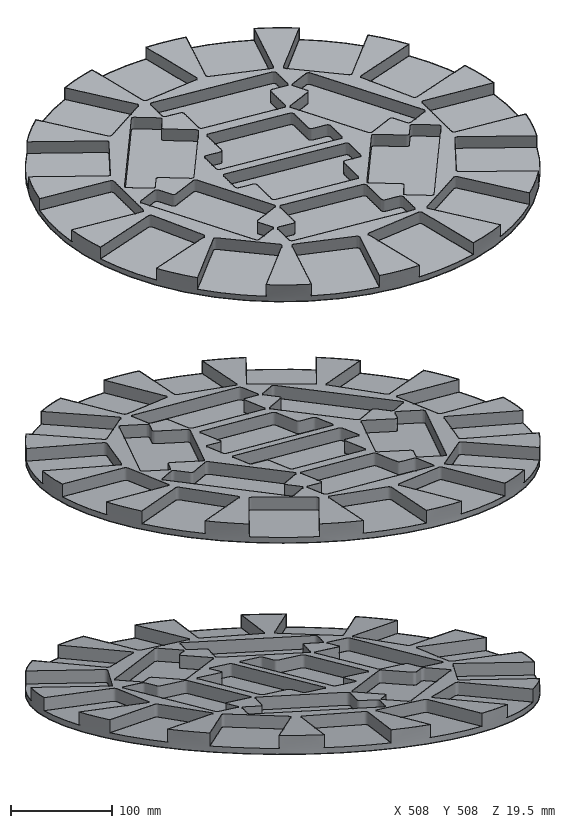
import cadquery as cq

disc_diameter = 508.0
disc_height = 19.5
floor_height = 6.0
pocket_depth = disc_height - floor_height

slot_count = 14
slot_width = 69.0
slot_inner_distance = 170.5

flange_length = 139.0
flange_width = 30.5
body_length = 96.0
pocket_width = 67.5

ring_pocket_count = 6
ring_back_distance = 153.0
centre_back_distance = 5.0

corner_radius = 3.0


def rim_slot():
    """Slot cutter along +X, closed at the inner end and open at the rim."""
    length = disc_diameter / 2
    return (
        cq.Workplane("XY", origin=(slot_inner_distance, 0, floor_height))
        .rect(length, slot_width)
        .extrude(pocket_depth)
        .translate((length / 2, 0, 0))
        .edges("|Z and <X")
        .fillet(corner_radius)
    )


def t_pocket(back_distance):
    """T-shaped cutter with its flange back edge at x = back_distance and its body towards +X."""
    half_flange = flange_length / 2
    half_body = body_length / 2
    return (
        cq.Workplane("XY", origin=(back_distance, 0, floor_height))
        .moveTo(0, -half_flange)
        .lineTo(flange_width, -half_flange)
        .lineTo(flange_width, -half_body)
        .lineTo(pocket_width, -half_body)
        .lineTo(pocket_width, half_body)
        .lineTo(flange_width, half_body)
        .lineTo(flange_width, half_flange)
        .lineTo(0, half_flange)
        .close()
        .extrude(pocket_depth)
        .edges("|Z")
        .fillet(corner_radius)
    )


def turned(cutter, angle):
    """Cutter rotated about the disc axis."""
    return cutter.rotate((0, 0, 0), (0, 0, 1), angle)


result = cq.Workplane("XY").circle(disc_diameter / 2).extrude(disc_height)

for i in range(slot_count):
    result = result.cut(turned(rim_slot(), 90 + i * 360 / slot_count))

for i in range(ring_pocket_count):
    result = result.cut(turned(t_pocket(-ring_back_distance), i * 360 / ring_pocket_count))

for angle in (0, 180):
    result = result.cut(turned(t_pocket(centre_back_distance), angle))